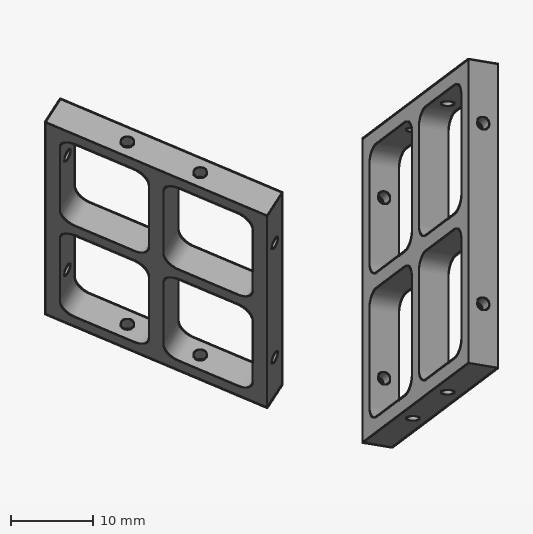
import cadquery as cq

width = 30.5
depth = 4.0
height = 39.5

bar = 2.0
corner_radius = 2.0
window_width = (width - 3 * bar) / 2
window_height = (height - 3 * bar) / 2

hole_diameter = 1.6
end_hole_spacing = 10.0
side_hole_spacing = 23.45


def make_windows():
    """Four rounded openings running through the depth."""
    return (
        cq.Workplane("XZ")
        .rarray(window_width + bar, window_height + bar, 2, 2)
        .rect(window_width, window_height)
        .extrude(depth / 2, both=True)
        .edges("|Y")
        .fillet(corner_radius)
    )


def drill(plane, across, positions):
    """Holes through the two opposite outer bars, starting at each outer face."""
    hole = cq.Workplane(plane).pushPoints(positions).circle(hole_diameter / 2)
    drills = hole.extrude(across / 2, both=True)
    core = cq.Workplane("XY").box(width - 2 * bar, depth, height - 2 * bar)
    return drills.cut(core)


end_holes = drill("XY", height, [(side * end_hole_spacing / 2, 0) for side in (-1, 1)])
side_holes = drill("YZ", width, [(0, side * side_hole_spacing / 2) for side in (-1, 1)])

frame = cq.Workplane("XY").box(width, depth, height)
result = frame.cut(make_windows()).cut(end_holes).cut(side_holes)